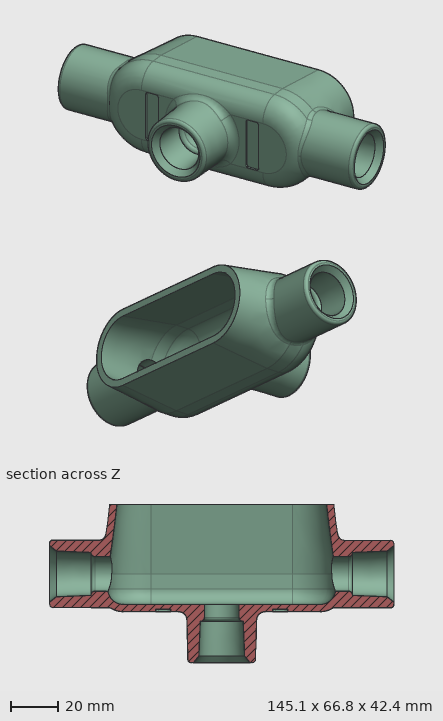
import cadquery as cq
import math


length = 145.1
end_hub_reach = length / 2
front_hub_reach = 37.5
opening_y = 29.3
body_front_y = -16.0

body_half_height = 21.2
end_center_x = 29.9
opening_half_height = 17.4
front_round = 9.6
wall = 3.2
taper = math.degrees(math.atan((body_half_height - opening_half_height) / opening_y))

hub_radius = 28.6 / 2
front_hub_root_radius = 14.8
tip_round = 1.5
end_root_fillet = 2.6
front_root_fillet = 3.5

entry_radius = 11.9
entry_depth = 2.9
socket_mouth_radius = 9.6
socket_end_radius = 9.0
socket_depth = 17.4
passage_radius = 7.3
shoulder_round = socket_end_radius - passage_radius

plate_center_x = 24.7
plate_width = 6.2
plate_height = 22.6
plate_depth = 1.0
plate_corner = 1.2

edge_samples = (0, 0.3, 0.7, 1)
on_hub_tolerance = 0.5


def stadium_prism(half_height, distance, draft=0.0):
    """Stadium of the given half height, extruded a signed distance along Y from the hub axes."""
    direction = math.copysign(1, distance)
    plane = cq.Plane(origin=(0, 0, 0), xDir=(1, 0, 0), normal=(0, direction, 0))
    outline = cq.Workplane(plane).slot2D(2 * (end_center_x + half_height), 2 * half_height)
    return outline.extrude(abs(distance), taper=draft)


def body_form(inset):
    """Body shape with every face except the opening moved inward by inset."""
    half_height = body_half_height - inset
    front = stadium_prism(half_height, body_front_y + inset)
    front = front.faces("<Y").edges().fillet(front_round - inset)
    return front.union(stadium_prism(half_height, opening_y, taper))


def place_hub(solid, reach, turn):
    """Move a solid with its tip at the origin out to reach along -X, then turn it about Z."""
    return solid.translate((-reach, 0, 0)).rotate((0, 0, 0), (0, 0, 1), turn)


def hub(reach, root_radius, turn):
    """Outside of a hub, from its rounded tip inward to the origin."""
    profile = (
        cq.Workplane("XY")
        .lineTo(0, hub_radius)
        .lineTo(reach + body_front_y, root_radius)
        .lineTo(reach, root_radius)
        .lineTo(reach, 0)
        .close()
    )
    solid = profile.revolve(360, (0, 0, 0), (1, 0, 0)).faces("<X").edges().fillet(tip_round)
    return place_hub(solid, reach, turn)


def hub_bore(reach, turn):
    """Empty space inside a hub, from its tip inward to the origin."""
    shoulder_end = socket_depth + shoulder_round
    arc_offset = shoulder_round * math.sqrt(0.5)
    profile = (
        cq.Workplane("XY")
        .lineTo(0, entry_radius)
        .lineTo(entry_depth, socket_mouth_radius)
        .lineTo(socket_depth, socket_end_radius)
        .threePointArc(
            (shoulder_end - arc_offset, socket_end_radius - arc_offset),
            (shoulder_end, passage_radius),
        )
        .lineTo(reach, passage_radius)
        .lineTo(reach, 0)
        .close()
    )
    return place_hub(profile.revolve(360, (0, 0, 0), (1, 0, 0)), reach, turn)


def is_root_edge(edge, reach, root_radius):
    """True for an edge on the surface of the hub along -X that stays clear of the hub tip."""
    distances = [math.hypot(edge.positionAt(t).y, edge.positionAt(t).z) for t in edge_samples]
    on_hub = all(abs(distance - root_radius) < on_hub_tolerance for distance in distances)
    box = edge.BoundingBox()
    return on_hub and box.xmax < 0 and box.xmin > -reach + 2 * tip_round


def join_hub(body, reach, root_radius, turn, root_fillet):
    """Add a hub to the body and round the corner where the two meet."""
    joined = body.union(hub(reach, root_radius, turn))
    turned_back = joined.rotate((0, 0, 0), (0, 0, 1), -turn)
    root_edges = [edge for edge in turned_back.edges().vals() if is_root_edge(edge, reach, root_radius)]
    filleted = turned_back.newObject(root_edges).fillet(root_fillet)
    return filleted.rotate((0, 0, 0), (0, 0, 1), turn)


def marking_plate(center_x):
    """Shallow pocket for a marking plate."""
    plate = cq.Workplane("XY").box(plate_width, 2 * plate_depth, plate_height)
    return plate.edges("|Y").fillet(plate_corner).translate((center_x, body_front_y, 0))


end_hub_turns = (0, 180)
front_hub_turn = 90

result = body_form(0)
for turn in end_hub_turns:
    result = join_hub(result, end_hub_reach, hub_radius, turn, end_root_fillet)
result = join_hub(result, front_hub_reach, front_hub_root_radius, front_hub_turn, front_root_fillet)

result = result.cut(body_form(wall))
for turn in end_hub_turns:
    result = result.cut(hub_bore(end_hub_reach, turn))
result = result.cut(hub_bore(front_hub_reach, front_hub_turn))
for center_x in (-plate_center_x, plate_center_x):
    result = result.cut(marking_plate(center_x))